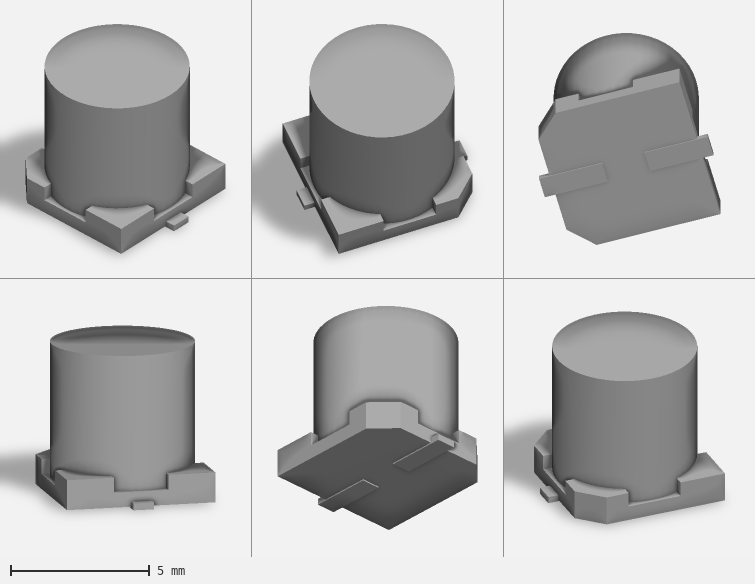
import cadquery as cq

overall_length = 6.3
overall_height = 5.57

base_side = 5.51
base_bottom = 0.05
base_top = 1.15
corner_chamfer = 0.88
notch_width = 2.03
notch_floor = 0.6

can_diameter = 5.23

terminal_length = 2.36
terminal_width = 0.77
terminal_thickness = 0.25


def make_can():
    """Plain cylinder standing on the floor of the base recess."""
    return (
        cq.Workplane("XY")
        .workplane(offset=notch_floor)
        .circle(can_diameter / 2)
        .extrude(overall_height - notch_floor)
    )


def make_terminal(side):
    """Flat terminal at the -X (side = -1) or +X (side = 1) end."""
    center_x = side * (overall_length - terminal_length) / 2
    return (
        cq.Workplane("XY")
        .center(center_x, 0)
        .rect(terminal_length, terminal_width)
        .extrude(terminal_thickness)
    )


def make_base(can, terminals):
    """Square base with two cut corners, side notches and seats for the other bodies."""
    base = (
        cq.Workplane("XY")
        .workplane(offset=base_bottom)
        .rect(base_side, base_side)
        .extrude(base_top - base_bottom)
        .edges("|Z and <X")
        .chamfer(corner_chamfer)
    )
    for size_x, size_y in ((base_side, notch_width), (notch_width, base_side)):
        channel = (
            cq.Workplane("XY")
            .workplane(offset=notch_floor)
            .rect(size_x, size_y)
            .extrude(base_top - notch_floor)
        )
        base = base.cut(channel)
    base = base.cut(can)
    for terminal in terminals:
        base = base.cut(terminal)
    return base


can = make_can()
terminals = [make_terminal(side) for side in (-1, 1)]
base = make_base(can, terminals)

result = cq.Compound.makeCompound(
    [base.val(), can.val(), *[terminal.val() for terminal in terminals]]
)